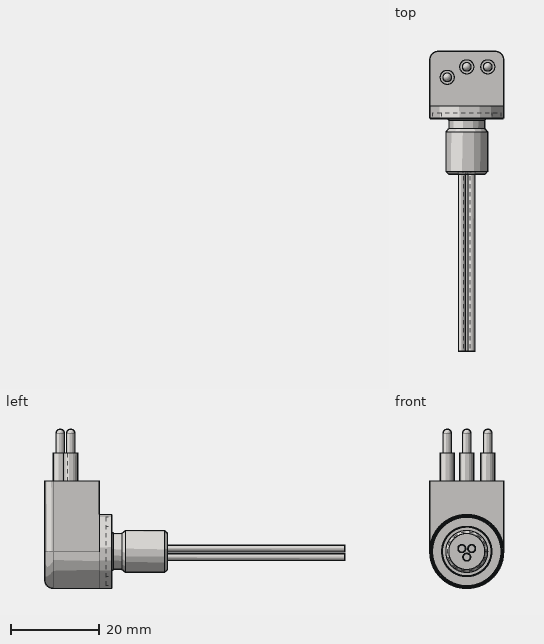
import cadquery as cq
import math

overall_length = 67.9

housing_width = 16.8
housing_radius = housing_width / 2
housing_depth = 12.35
housing_top = 15.95
back_fillet = 2.0

collar_front = 15.3
groove_outer_diameter = 15.5
groove_inner_diameter = 11.4
groove_depth = 1.35
collar_edge_chamfer = 0.2

neck_diameter = 8.15
flare_diameter = 8.8
flare_length = 0.35
sleeve_diameter = 9.5
sleeve_start = 17.45
sleeve_end = 27.85
sleeve_back_chamfer = 0.8
sleeve_front_chamfer = 0.7

wire_diameter = 1.55
wire_count = 3
wire_circle_radius = 1.3
wire_hole_diameter = 1.85
wire_hole_depth = 0.7

overall_height = 36.1
pin_height = overall_height - housing_radius
pin_shoulder = 22.3
pin_base_diameter = 3.2
pin_tip_diameter = 2.0
pin_positions = [(-4.4, -5.9), (0, -3.5), (4.75, -3.5)]


def cylinder_along_cable(diameter, start, end):
    """Round bar on the cable axis between two distances in front of the housing back."""
    return cq.Workplane("XZ", origin=(0, -start, 0)).circle(diameter / 2).extrude(end - start)


def make_housing():
    block = (
        cq.Workplane("XZ")
        .moveTo(-housing_radius, housing_top)
        .lineTo(-housing_radius, 0)
        .threePointArc((0, -housing_radius), (housing_radius, 0))
        .lineTo(housing_radius, housing_top)
        .close()
        .extrude(housing_depth)
    )
    top_edge = cq.selectors.NearestToPointSelector((0, 0, housing_top))
    back_edges = cq.selectors.SubtractSelector(cq.selectors.StringSyntaxSelector("|Z or %CIRCLE"), top_edge)
    return block.faces(">Y").edges(back_edges).fillet(back_fillet)


def make_collar():
    collar = cylinder_along_cable(housing_width, housing_depth, collar_front)
    groove_floor = collar_front - groove_depth
    groove = cylinder_along_cable(groove_outer_diameter, groove_floor, collar_front)
    hub = cylinder_along_cable(groove_inner_diameter, groove_floor, collar_front)
    hub = hub.faces("<Y").edges().chamfer(collar_edge_chamfer)
    rim = collar.cut(groove).faces("<Y").edges().chamfer(collar_edge_chamfer)
    return rim.union(hub)


def make_strain_relief():
    neck_radius = neck_diameter / 2
    sleeve_radius = sleeve_diameter / 2
    profile = [
        (0, -housing_depth),
        (flare_diameter / 2, -housing_depth),
        (flare_diameter / 2, -collar_front),
        (neck_radius, -collar_front - flare_length),
        (neck_radius, -sleeve_start),
        (sleeve_radius, -sleeve_start - sleeve_back_chamfer),
        (sleeve_radius, -sleeve_end + sleeve_front_chamfer),
        (sleeve_radius - sleeve_front_chamfer, -sleeve_end),
        (0, -sleeve_end),
    ]
    return cq.Workplane("XY").polyline(profile).close().revolve(360, (0, 0), (0, 1))


def make_wire_bars(diameter, start, end):
    """One bar at each wire position, between two distances in front of the housing back."""
    bars = cq.Workplane("XZ")
    for index in range(wire_count):
        angle = math.radians(-90 + index * 360 / wire_count)
        x = wire_circle_radius * math.cos(angle)
        z = wire_circle_radius * math.sin(angle)
        bars = bars.add(cylinder_along_cable(diameter, start, end).translate((x, 0, z)))
    return bars.combine()


def make_pin(x, y):
    base_radius = pin_base_diameter / 2
    tip_radius = pin_tip_diameter / 2
    dome_start = pin_height - tip_radius
    dome_middle = tip_radius * math.sqrt(0.5)
    pin = (
        cq.Workplane("XZ")
        .moveTo(0, 0)
        .lineTo(base_radius, 0)
        .lineTo(base_radius, pin_shoulder)
        .lineTo(tip_radius, pin_shoulder)
        .lineTo(tip_radius, dome_start)
        .threePointArc((dome_middle, dome_start + dome_middle), (0, pin_height))
        .close()
        .revolve(360, (0, 0), (0, 1))
    )
    return pin.translate((x, y, 0))


wires = make_wire_bars(wire_diameter, collar_front, overall_length)
wire_holes = make_wire_bars(wire_hole_diameter, sleeve_end - wire_hole_depth, sleeve_end)
strain_relief = make_strain_relief().cut(wire_holes)

result = make_housing().union(make_collar()).union(strain_relief).union(wires)
for pin_x, pin_y in pin_positions:
    result = result.union(make_pin(pin_x, pin_y))